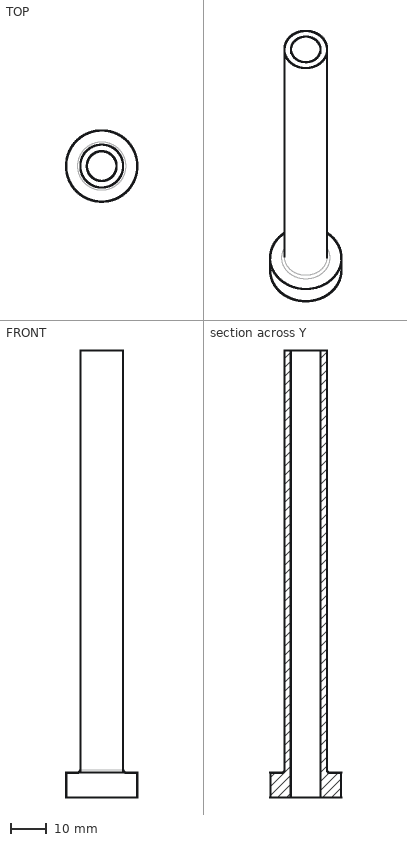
import cadquery as cq

total_length = 125.0
head_diameter = 20.0
head_height = 7.0
tube_diameter = 12.0
bore_diameter = 8.2
root_fillet_radius = 0.8

head = cq.Workplane("XY").circle(head_diameter / 2).extrude(head_height)

tube = cq.Workplane("XY").circle(tube_diameter / 2).extrude(total_length)
body = head.union(tube)

head_top = body.faces(">Z[-2]")
body = head_top.edges(cq.selectors.RadiusNthSelector(0)).fillet(root_fillet_radius)

bore = cq.Workplane("XY").circle(bore_diameter / 2).extrude(total_length)
result = body.cut(bore)